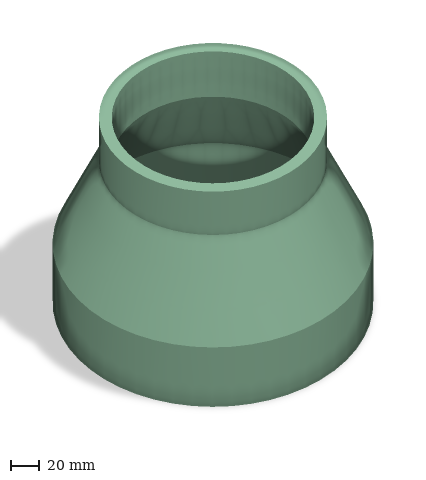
import cadquery as cq

wide_diameter = 225.0
narrow_diameter = 160.0
wide_wall = 12.8
narrow_wall = 9.0

total_height = 171.0
wide_length = 55.0
narrow_length = 40.0

wide_bore_depth = 61.6
narrow_bore_depth = 41.8


def stepped_body(lower_radius, upper_radius, lower_length, upper_length):
    """Solid of two coaxial cylinders joined by a cone, standing on the XY plane."""
    return (
        cq.Workplane("XZ")
        .lineTo(lower_radius, 0)
        .lineTo(lower_radius, lower_length)
        .lineTo(upper_radius, total_height - upper_length)
        .lineTo(upper_radius, total_height)
        .lineTo(0, total_height)
        .close()
        .revolve(360, (0, 0, 0), (0, 1, 0))
    )


wide_radius = wide_diameter / 2
narrow_radius = narrow_diameter / 2

outer_body = stepped_body(wide_radius, narrow_radius, wide_length, narrow_length)
inner_passage = stepped_body(
    wide_radius - wide_wall,
    narrow_radius - narrow_wall,
    wide_bore_depth,
    narrow_bore_depth,
)

result = outer_body.cut(inner_passage)